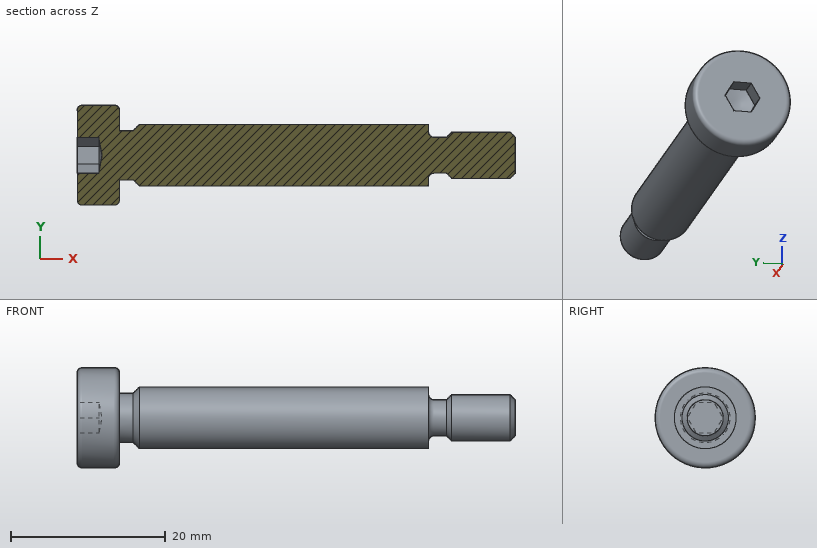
import cadquery as cq
import math

total_length = 56.75

head_diameter = 13.0
head_length = 5.5
head_edge_radius = 0.7

undercut_diameter = 6.4
undercut_length = 1.75

shoulder_diameter = 8.0
shoulder_end = 45.5

groove_diameter = 4.7
groove_fillet = 0.7
groove_straight_length = 1.65

thread_diameter = 6.0
thread_end_chamfer = 0.7

socket_across_flats = 4.0
socket_depth = 2.85
socket_cone_angle = 158.0


def make_body():
    """Turned body: half profile revolved about the X axis."""
    head_radius = head_diameter / 2
    undercut_radius = undercut_diameter / 2
    shoulder_radius = shoulder_diameter / 2
    groove_radius = groove_diameter / 2
    thread_radius = thread_diameter / 2

    undercut_end = head_length + undercut_length
    shoulder_start = undercut_end + shoulder_radius - undercut_radius
    groove_start = shoulder_end + groove_fillet
    groove_end = groove_start + groove_straight_length
    thread_start = groove_end + thread_radius - groove_radius

    profile = (
        cq.Workplane("XY")
        .moveTo(0, 0)
        .lineTo(0, head_radius - head_edge_radius)
        .radiusArc((head_edge_radius, head_radius), head_edge_radius)
        .lineTo(head_length - head_edge_radius, head_radius)
        .radiusArc((head_length, head_radius - head_edge_radius), head_edge_radius)
        .lineTo(head_length, undercut_radius)
        .lineTo(undercut_end, undercut_radius)
        .lineTo(shoulder_start, shoulder_radius)
        .lineTo(shoulder_end, shoulder_radius)
        .lineTo(shoulder_end, groove_radius + groove_fillet)
        .radiusArc((groove_start, groove_radius), -groove_fillet)
        .lineTo(groove_end, groove_radius)
        .lineTo(thread_start, thread_radius)
        .lineTo(total_length - thread_end_chamfer, thread_radius)
        .lineTo(total_length, thread_radius - thread_end_chamfer)
        .lineTo(total_length, 0)
        .close()
    )
    return profile.revolve(360, (0, 0, 0), (1, 0, 0))


def make_socket():
    """Hexagonal socket with flats facing +Z and -Z and a conical bottom."""
    across_corners = socket_across_flats / math.cos(math.pi / 6)
    hexagon = cq.Workplane("YZ").polygon(6, across_corners).extrude(socket_depth)

    cone_radius = socket_across_flats / 2
    cone_depth = cone_radius / math.tan(math.radians(socket_cone_angle / 2))
    cone = (
        cq.Workplane("XY")
        .moveTo(socket_depth, 0)
        .lineTo(socket_depth, cone_radius)
        .lineTo(socket_depth + cone_depth, 0)
        .close()
        .revolve(360, (0, 0, 0), (1, 0, 0))
    )
    return hexagon.union(cone)


result = make_body().cut(make_socket())